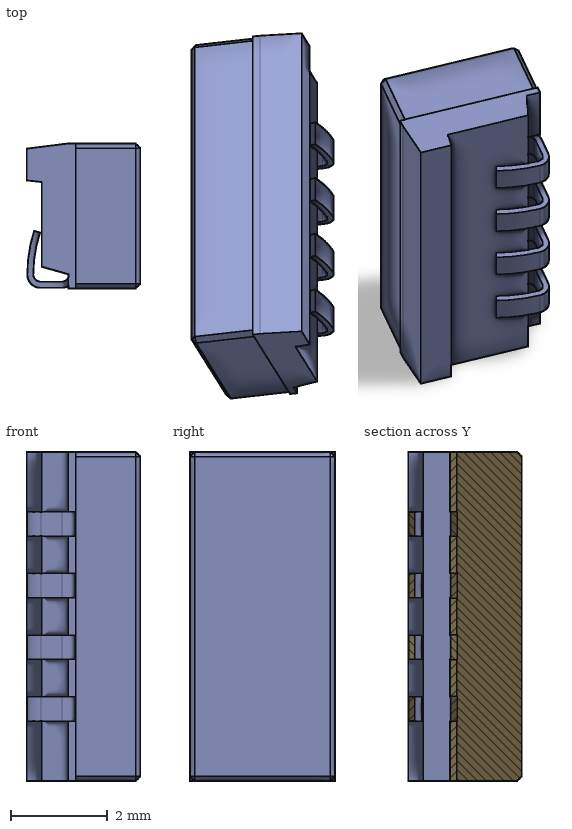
import cadquery as cq
import math

depth = 2.35
width = 3.0
height = 6.8

housing_depth = 1.01
lip_outer_y = 2.89
lip_inner_y = 2.23
lip_root_y = 2.195
web_x = 0.31
web_end_y = 0.45
flange_x = 0.865
flange_root_y = 0.29

cover_chamfer = 0.1

contact_count = 4
contact_pitch = 1.27
contact_width = 0.5
strip_thickness = 0.13
contact_x = 0.015
contact_bottom_y = 0.015
contact_root_x = 1.005
arm_radius = 2.925
arm_angle = 18.0

bend_center_y = flange_root_y
bend_radius = bend_center_y - contact_bottom_y
first_contact_z = height / 2 - (contact_count - 1) * contact_pitch / 2
contact_heights = [first_contact_z + i * contact_pitch for i in range(contact_count)]


def make_housing():
    """Stepped housing with one slot in its flange for each contact."""
    housing = (
        cq.Workplane("XY")
        .moveTo(0, lip_outer_y)
        .lineTo(flange_x, width)
        .lineTo(housing_depth, width)
        .lineTo(housing_depth, 0)
        .lineTo(flange_x, 0)
        .lineTo(flange_x, flange_root_y)
        .lineTo(web_x, web_end_y)
        .lineTo(web_x, lip_root_y)
        .lineTo(0, lip_inner_y)
        .close()
        .extrude(height)
    )
    for z in contact_heights:
        slot = cq.Workplane("XY").box(
            housing_depth - flange_x, flange_root_y, contact_width, centered=(False, False, True)
        )
        housing = housing.cut(slot.translate((flange_x, 0, z)))
    return housing


def make_cover():
    """Block with every edge chamfered except those against the housing."""
    cover = cq.Workplane("XY").box(depth - housing_depth, width, height, centered=False)
    cover = cover.translate((housing_depth, 0, 0))
    return cover.edges("not <X").chamfer(cover_chamfer)


def arc_point(center_x, radius, angle):
    """Point on an arc about the bend height; the angle is in degrees from +X toward +Y."""
    turn = math.radians(angle)
    return (center_x + radius * math.cos(turn), bend_center_y + radius * math.sin(turn))


def make_contact(z):
    """Hooked spring strip, centred on height z: root bend, flat, front bend and curved arm."""
    root_center_x = contact_root_x - bend_radius
    front_center_x = contact_x + bend_radius
    arm_center_x = contact_x + arm_radius
    inner_bend = bend_radius - strip_thickness
    inner_arm = arm_radius - strip_thickness
    tip_angle = 180 - arm_angle
    arm_middle_angle = 180 - arm_angle / 2

    return (
        cq.Workplane("XY")
        .workplane(offset=z - contact_width / 2)
        .moveTo(*arc_point(root_center_x, bend_radius, 0))
        .threePointArc(arc_point(root_center_x, bend_radius, -45), arc_point(root_center_x, bend_radius, -90))
        .lineTo(*arc_point(front_center_x, bend_radius, -90))
        .threePointArc(
            arc_point(front_center_x, bend_radius, -135), arc_point(front_center_x, bend_radius, 180)
        )
        .threePointArc(
            arc_point(arm_center_x, arm_radius, arm_middle_angle),
            arc_point(arm_center_x, arm_radius, tip_angle),
        )
        .lineTo(*arc_point(arm_center_x, inner_arm, tip_angle))
        .threePointArc(
            arc_point(arm_center_x, inner_arm, arm_middle_angle), arc_point(arm_center_x, inner_arm, 180)
        )
        .threePointArc(arc_point(front_center_x, inner_bend, -135), arc_point(front_center_x, inner_bend, -90))
        .lineTo(*arc_point(root_center_x, inner_bend, -90))
        .threePointArc(arc_point(root_center_x, inner_bend, -45), arc_point(root_center_x, inner_bend, 0))
        .close()
        .extrude(contact_width)
    )


housing = make_housing()
cover = make_cover()
contacts = [make_contact(z).val() for z in contact_heights]

result = cq.Compound.makeCompound([housing.val(), cover.val(), *contacts])